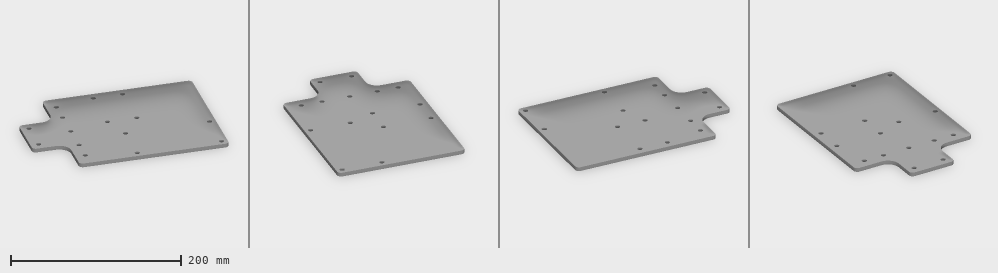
import cadquery as cq

plate_width = 160.0
total_length = 226.0
thickness = 5.0

tab_width = 60.0
tab_length = 43.0

corner_radius = 5.0
neck_radius = 15.0

hole_diameter = 6.0
tab_hole_x = 20.0
tab_hole_y = 10.0
row_inner_x = 34.8
row_outer_x = 61.0
row_y = 55.1
left_group_x = -70.0
left_group_pitch_x = 60.0
left_group_y = 102.8
left_group_pitch_y = 36.0
right_group_x = 22.5
right_group_pitch_x = 50.0
right_group_y = 115.5
right_group_pitch_y = 103.0


def rectangle_corners(x, y, pitch_x, pitch_y):
    """Corner points of a rectangle whose lowest left corner is (x, y)."""
    return [(x + i * pitch_x, y + j * pitch_y) for i in (0, 1) for j in (0, 1)]


def make_plate():
    """Wide plate with a centred tab, all upright edges rounded."""
    main_length = total_length - tab_length
    main = cq.Workplane("XY").box(plate_width, main_length, thickness, centered=(True, False, False))
    main = main.translate((0, tab_length, 0))
    tab = cq.Workplane("XY").box(tab_width, total_length, thickness, centered=(True, False, False))
    plate = main.union(tab).clean()

    for side in (-1, 1):
        neck = cq.selectors.NearestToPointSelector((side * tab_width / 2, tab_length, thickness / 2))
        plate = plate.edges("|Z").edges(neck).fillet(neck_radius)

    for width, y in ((plate_width, total_length), (plate_width, tab_length), (tab_width, 0)):
        for side in (-1, 1):
            corner = cq.selectors.NearestToPointSelector((side * width / 2, y, thickness / 2))
            plate = plate.edges("|Z").edges(corner).fillet(corner_radius)
    return plate


tab_holes = [(-tab_hole_x, tab_hole_y), (tab_hole_x, tab_hole_y)]
row_holes = [(x, row_y) for x in (-row_outer_x, -row_inner_x, 0, row_inner_x, row_outer_x)]
left_holes = rectangle_corners(left_group_x, left_group_y, left_group_pitch_x, left_group_pitch_y)
right_holes = rectangle_corners(right_group_x, right_group_y, right_group_pitch_x, right_group_pitch_y)

hole_cutters = (
    cq.Workplane("XY")
    .pushPoints(tab_holes + row_holes + left_holes + right_holes)
    .circle(hole_diameter / 2)
    .extrude(thickness)
)

result = make_plate().cut(hole_cutters).translate((0, -total_length / 2, -thickness / 2))